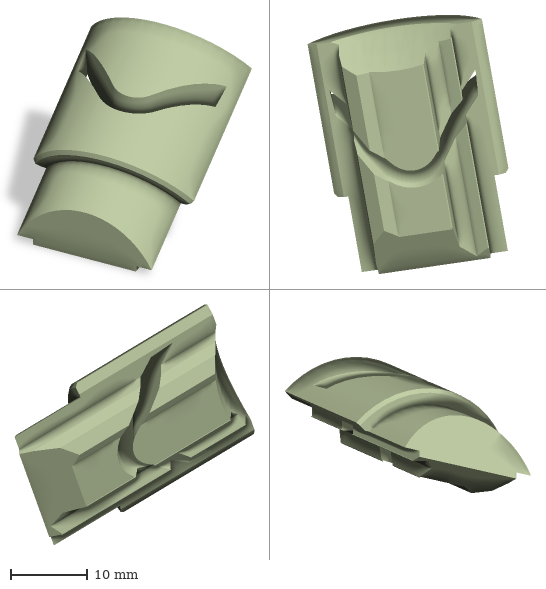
import cadquery as cq
import math

tilt = 30.0
length = 27.15
height = 23.03

collar_radius = 13.5
stub_radius = 11.5
sector_half_angle = 60.0
ledge_level = 6.0
web_half_width = 7.5
underside_level = 2.2

collar_length = 21.0
chamfer_size = 0.5
rear_hollow_radius = 22.0
rear_hollow_depth = 1.75

slot_width = 2.0
slot_inner_radius = 4.0
slot_bend_y = 17.57
slot_half_span = 7.05
slot_end_flare = 8.0
slot_leg_angle = 44.4

groove_root_start = 4.25
groove_root_end = 8.66
groove_tip_start = 5.3
groove_tip_end = 7.45
groove_depth = 1.39
lip_width = 0.15

cos_tilt = math.cos(math.radians(tilt))
sin_tilt = math.sin(math.radians(tilt))

rear_end = (length + ledge_level * sin_tilt) / cos_tilt
shoulder = rear_end - collar_length
top_z = rear_end * sin_tilt + collar_radius * cos_tilt
bottom_z = top_z - height
overrun = 2 * length

joint_profile = [
    (groove_root_start, 0),
    (groove_tip_start, groove_depth),
    (groove_tip_end, groove_depth),
    (groove_root_end, 0),
]

sector_slope = math.tan(math.radians(sector_half_angle))
tongue_joint = 90 - sector_half_angle
groove_joint = 90 + sector_half_angle
joint_foot = underside_level * sector_slope
joint_top = web_half_width / sector_slope


def section_plane(distance):
    """Plane square to the tilted axis, with local x along X and y across the axis."""
    return cq.Plane(
        origin=(0, distance * cos_tilt, distance * sin_tilt),
        xDir=(1, 0, 0),
        normal=(0, -cos_tilt, -sin_tilt),
    )


def extrude_back(sketch_start, outline):
    """Extrude an outline drawn on a section plane from sketch_start to the rear end."""
    return outline(cq.Workplane(section_plane(sketch_start))).extrude(sketch_start - rear_end)


def box_between(x_range, y_range, z_range):
    """Axis-aligned box given by its two limits along each axis."""
    sizes = [high - low for low, high in (x_range, y_range, z_range)]
    corner = (x_range[0], y_range[0], z_range[0])
    return cq.Workplane("XY").box(*sizes, centered=False).translate(corner)


def sector_outline(plane):
    """Wedge about the axis, wider than the collar, with its tip cut off at the ledge."""
    far_level = collar_radius + ledge_level
    return plane.polyline([
        (-ledge_level * sector_slope, ledge_level),
        (ledge_level * sector_slope, ledge_level),
        (far_level * sector_slope, far_level),
        (-far_level * sector_slope, far_level),
    ]).close()


def collar():
    """Outer shell: a round bar with a chamfered front rim, trimmed to the sector and ledge."""
    front_rim = cq.selectors.DirectionMinMaxSelector(cq.Vector(0, cos_tilt, sin_tilt), False)
    bar = extrude_back(shoulder, lambda plane: plane.circle(collar_radius))
    bar = bar.faces(front_rim).chamfer(chamfer_size)
    return bar.intersect(extrude_back(shoulder, sector_outline))


def stub():
    """Round stub that carries the collar, flat at the ledge."""
    half_width = math.sqrt(stub_radius**2 - ledge_level**2)

    def outline(plane):
        return (
            plane.moveTo(-half_width, ledge_level)
            .threePointArc((0, stub_radius), (half_width, ledge_level))
            .close()
        )

    return extrude_back(-length, outline)


def web():
    """Core below the ledge: upright sides, joint faces on the sector's edges, flat underside."""
    return extrude_back(-length, lambda plane: plane.polyline([
        (-joint_foot, underside_level),
        (joint_foot, underside_level),
        (web_half_width, joint_top),
        (web_half_width, ledge_level),
        (-web_half_width, ledge_level),
        (-web_half_width, joint_top),
    ]).close())


def joint_bar(joint_angle, profile):
    """Bar whose profile gives distance along a joint face and depth clockwise from it."""
    along = cq.Vector(math.cos(math.radians(joint_angle)), math.sin(math.radians(joint_angle)))
    inward = cq.Vector(along.y, -along.x)
    corners = [along * distance + inward * depth for distance, depth in profile]
    return extrude_back(
        -length, lambda plane: plane.polyline([(c.x, c.y) for c in corners]).close()
    )


def tongue():
    """Tongue with a small heel that fills the gap between its root and the underside."""
    foot_distance = math.hypot(joint_foot, underside_level)
    heel_height = (foot_distance - groove_root_start) * math.tan(math.radians(tongue_joint))
    heel = [(foot_distance, 0), (groove_root_start, -heel_height)]
    return joint_bar(tongue_joint, joint_profile + heel)


def groove():
    return joint_bar(groove_joint, joint_profile)


def groove_lining(root, tip, width):
    """Layer along one side wall of the groove, from its root to its tip."""
    return joint_bar(groove_joint, [
        (root, 0),
        (root + width, 0),
        (tip + width, groove_depth),
        (tip, groove_depth),
    ])


def rear_hollow():
    """Upright cylinder that hollows the rear below the collar's end face."""
    deepest_y = length - rear_hollow_depth
    return (
        cq.Workplane("XY")
        .center(0, deepest_y + rear_hollow_radius)
        .circle(rear_hollow_radius)
        .extrude(overrun)
    )


def slot():
    """V slot cut from top to bottom, its two ends spreading upward."""
    run = math.cos(math.radians(slot_leg_angle))
    climb = math.sin(math.radians(slot_leg_angle))
    outer_radius = slot_inner_radius + slot_width

    def bend_point(radius, side):
        return (side * radius * climb, slot_bend_y - radius * run)

    def leg_end(radius, side):
        x, y = bend_point(radius, side)
        return (x + side * length * run, y + length * climb)

    vee = (
        cq.Workplane("XY")
        .moveTo(*leg_end(slot_inner_radius, -1))
        .lineTo(*bend_point(slot_inner_radius, -1))
        .threePointArc((0, slot_bend_y - slot_inner_radius), bend_point(slot_inner_radius, 1))
        .lineTo(*leg_end(slot_inner_radius, 1))
        .lineTo(*leg_end(outer_radius, 1))
        .lineTo(*bend_point(outer_radius, 1))
        .threePointArc((0, slot_bend_y - outer_radius), bend_point(outer_radius, -1))
        .lineTo(*leg_end(outer_radius, -1))
        .close()
        .extrude(overrun)
    )
    top_half_span = slot_half_span + overrun * math.tan(math.radians(slot_end_flare))
    span = (
        cq.Workplane("XZ")
        .polyline([
            (-slot_half_span, 0),
            (slot_half_span, 0),
            (top_half_span, overrun),
            (-top_half_span, overrun),
        ])
        .close()
        .extrude(-overrun)
    )
    return vee.intersect(span)


def trim(body):
    """Cut the rear hollow and the slot, and square off the front and the bottom."""
    keep = box_between((-length, length), (0, overrun), (bottom_z, overrun))
    return body.cut(rear_hollow()).cut(slot()).intersect(keep)


def make_jaw():
    core = stub().union(web()).union(tongue()).cut(groove())
    return trim(core.union(collar())).solids()


def make_lips(lining, jaw_body):
    """Part of a groove lining that stands out past the jaw; the slot parts it in two."""
    return trim(lining).cut(jaw_body).solids()


jaw = make_jaw()
outer_lips = make_lips(groove_lining(groove_root_end, groove_tip_end, lip_width), jaw)
inner_lips = make_lips(groove_lining(groove_root_start, groove_tip_start, -lip_width), jaw)

result = cq.Compound.makeCompound([*jaw.vals(), *outer_lips.vals(), *inner_lips.vals()])